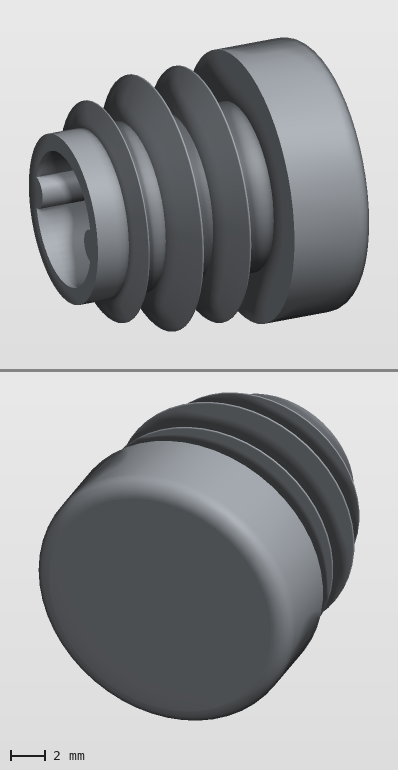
import cadquery as cq
import math

total_length = 16.0
cap_diameter = 16.0
cap_length = 5.0
cap_edge_radius = 1.0

stem_diameter = 10.0
stem_length = total_length - cap_length
bore_diameter = 8.0
bore_depth = stem_length
bore_rib_diameter = 2.0

large_fin_diameter = 15.0
large_fin_thickness = 1.33
large_fin_tip_radius = 0.06
small_fin_diameter = 13.0
small_fin_thickness = 0.67
small_fin_tip_radius = 0.05
small_fin_place = 2.6
fin_pitch = 2.96
large_fin_count = 2

open_end = -total_length / 2
cap_underside = open_end + stem_length


def rod(diameter, start, length, x=0.0):
    """Cylinder parallel to Y, running from Y = start towards +Y."""
    plane = cq.Workplane("XZ", origin=(x, start, 0))
    return plane.circle(diameter / 2).extrude(-length)


def make_cap():
    cap = rod(cap_diameter, cap_underside, cap_length)
    return cap.faces(">Y").edges().fillet(cap_edge_radius)


def make_fin(diameter, thickness, tip_radius, place):
    """Ring with a flat face towards the cap, a cone down to the stem and a rounded tip."""
    flat_face = open_end + place
    tip_centre_x = diameter / 2 - tip_radius
    tip_centre_y = flat_face - tip_radius
    foot_x = stem_diameter / 2
    foot_y = flat_face - thickness
    reach = math.hypot(tip_centre_x - foot_x, tip_centre_y - foot_y)
    slope = math.atan2(tip_centre_y - foot_y, tip_centre_x - foot_x) - math.asin(tip_radius / reach)
    cone_end = (
        tip_centre_x + tip_radius * math.sin(slope),
        tip_centre_y - tip_radius * math.cos(slope),
    )
    return (
        cq.Workplane("XY")
        .moveTo(0, flat_face)
        .lineTo(tip_centre_x, flat_face)
        .threePointArc((tip_centre_x + tip_radius, tip_centre_y), cone_end)
        .lineTo(foot_x, foot_y)
        .lineTo(0, foot_y)
        .close()
        .revolve(360, (0, 0, 0), (0, 1, 0))
    )


def make_bore():
    """Blind bore with two opposite round ribs left standing on its wall."""
    bore = rod(bore_diameter, open_end, bore_depth)
    for side in (-1, 1):
        rib_x = side * bore_diameter / 2
        bore = bore.cut(rod(bore_rib_diameter, open_end, bore_depth, rib_x))
    return bore


body = make_cap().union(rod(stem_diameter, open_end, stem_length))
body = body.union(make_fin(small_fin_diameter, small_fin_thickness, small_fin_tip_radius, small_fin_place))
for step in range(1, large_fin_count + 1):
    place = small_fin_place + step * fin_pitch
    body = body.union(make_fin(large_fin_diameter, large_fin_thickness, large_fin_tip_radius, place))

result = body.cut(make_bore())